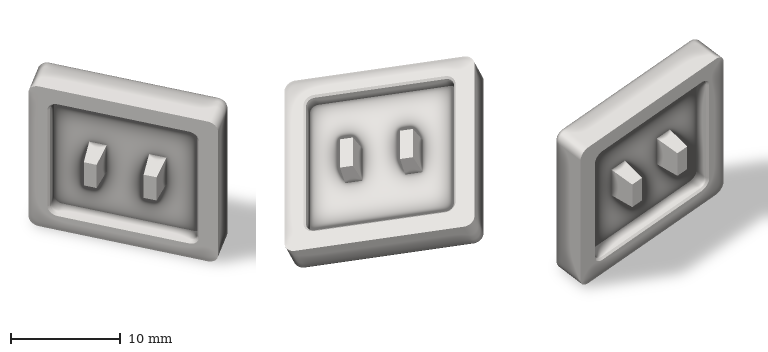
import cadquery as cq

side = 18.0
corner_radius = 1.0
cap_depth = 3.5
back_fillet = 0.5

pocket_side = 14.0
pocket_depth = 1.5
pocket_corner_radius = 0.8
rim_chamfer = 0.2

prong_spacing = 5.69
prong_projection = 1.0
prong_base_width = 1.65
prong_base_height = 3.38
prong_tip_width = 1.22
prong_tip_height = 2.99
prong_length = pocket_depth + prong_projection


def make_cap():
    cap = cq.Workplane("XZ").rect(side, side).extrude(-cap_depth)
    cap = cap.edges("|Y").fillet(corner_radius)
    return cap.faces(">Y").edges().fillet(back_fillet)


def make_prong(x_center):
    return (
        cq.Workplane("XZ", origin=(x_center, pocket_depth, 0))
        .rect(prong_base_width, prong_base_height)
        .workplane(offset=prong_length)
        .rect(prong_tip_width, prong_tip_height)
        .loft(ruled=True)
    )


def cut_pocket(cap):
    pocket = cq.Workplane("XZ").rect(pocket_side, pocket_side).extrude(-pocket_depth)
    pocket = pocket.edges("|Y").fillet(pocket_corner_radius)
    open_face = cap.cut(pocket).faces("<Y")
    rim = open_face.val().innerWires()[0]
    return open_face.newObject(rim.Edges()).chamfer(rim_chamfer)


result = cut_pocket(make_cap())
for x_center in (-prong_spacing / 2, prong_spacing / 2):
    result = result.union(make_prong(x_center))